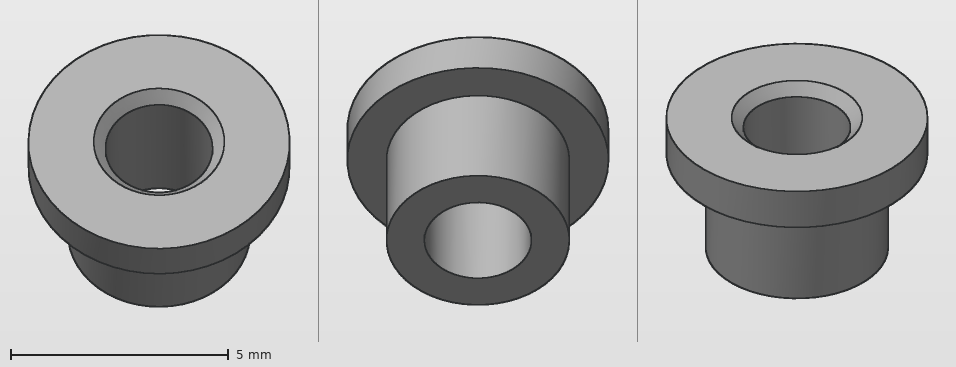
import cadquery as cq

flange_diameter = 6
sleeve_diameter = 4.2
bore_diameter = 2.46
countersink_diameter = 3
total_height = 3.6
flange_thickness = 1.0

sleeve_height = total_height - flange_thickness
countersink_depth = (countersink_diameter - bore_diameter) / 2

sleeve = cq.Workplane("XY").circle(sleeve_diameter / 2).extrude(sleeve_height)
bushing = sleeve.faces(">Z").workplane().circle(flange_diameter / 2).extrude(flange_thickness)

bored = bushing.faces(">Z").workplane().hole(bore_diameter)
bore_entry = bored.faces(">Z").edges(cq.selectors.RadiusNthSelector(0))
result = bore_entry.chamfer(countersink_depth)